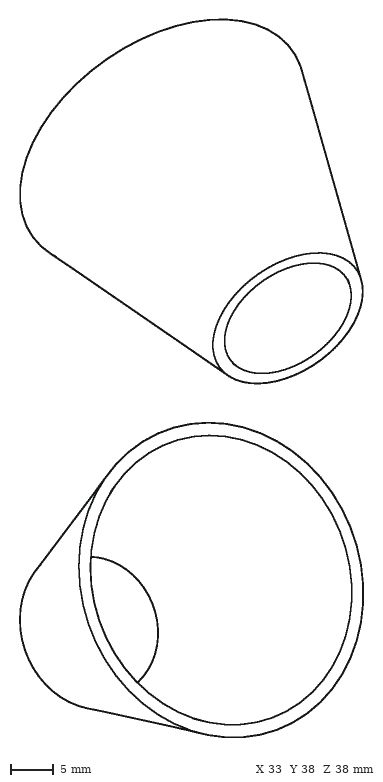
import cadquery as cq
import math

length = 33.0
large_diameter = 38.0
small_diameter = 20.0
wall = 1.5

large_radius = large_diameter / 2
small_radius = small_diameter / 2
slope_angle = math.atan2(large_radius - small_radius, length)
radial_wall = wall / math.cos(slope_angle)


def wall_section():
    """Half section of the wall in the XY plane, with the large end at X = 0."""
    return cq.Workplane("XY").polyline(
        [
            (0, large_radius - radial_wall),
            (0, large_radius),
            (length, small_radius),
            (length, small_radius - radial_wall),
        ]
    ).close()


result = wall_section().revolve(360, (0, 0, 0), (1, 0, 0))